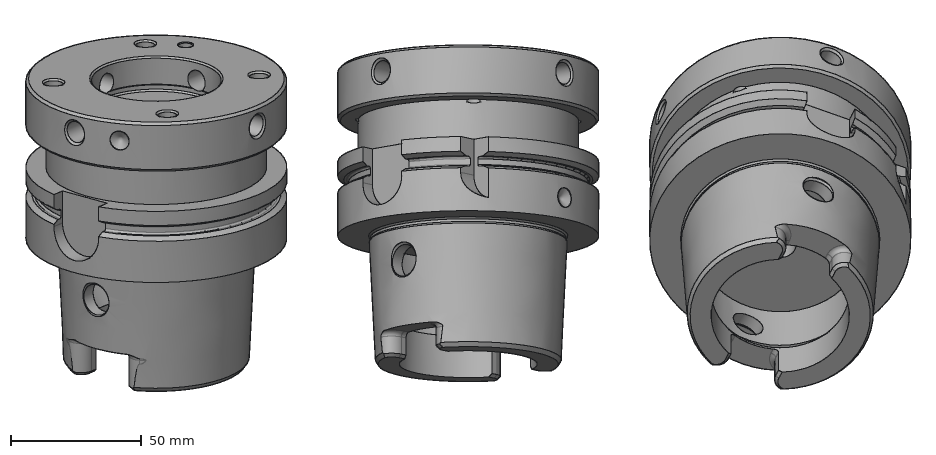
import cadquery as cq
import math

overrun = 2.3

height = 114.9
shank_height = 50.0
flange_height = 29.0
head_height = 20.0
flange_top = shank_height + flange_height
head_bottom = height - head_height

outer_radius = 50.0
neck_radius = 42.3
head_chamfer = 1.0

gripper_offset = 20.0
gripper_center = shank_height + gripper_offset
gripper_rim_width = 6.4
gripper_slot_width = 3.8
gripper_floor_radius = 45.8
gripper_corner_radius = 0.8
gripper_flank_angle = 30.0

shank_radius = 37.9
shank_slope = 0.05
shank_end_chamfer_height = 1.7
shank_end_chamfer_width = 1.1
relief_depth = 0.5
relief_height = 2.4
relief_flank = 0.7

recess_radius = 25.5
recess_depth = 14.1
recess_chamfer = 0.7
recess_relief_height = 2.9
coolant_diameter = 12.2
cavity_mouth_radius = 26.4
cavity_radius = 31.5
cavity_depth = 47.1
clamp_shoulder_height = 16.1
clamp_shoulder_angle = 30.0

drill_point_angle = 118.0
face_hole_spacing = 56.0
face_hole_diameter = 7.2
face_hole_depth = 20.9
face_hole_chamfer = 0.7
pin_angle = 22.5
pin_hole_circle_radius = 39.6
pin_hole_diameter = 5.5
pin_hole_chamfer = 0.3
pin_hole_depth = 11.5
side_hole_diameter = 8.5
side_hole_chamfer = 0.9
side_hole_height = 107.0

dimple_diameter = 7.6
dimple_rim_depth = 0.3
flange_dimple_height = 58.4

front_key_width = 22.0
rear_key_width = 20.0
key_floor = 43.5
key_bottom = 54.9
notch_wall = 31.4
notch_cutter_radius = 10.0
notch_cutter_height = 64.9

cross_hole_diameter = 12.3
cross_hole_chamfer = 0.8
cross_hole_height = 35.2
drive_half_width = 9.9
drive_face = 32.3
drive_nose_radius = 5.0
drive_flare = 5.7
drive_fillet = 2.0
drive_end_chamfer = 1.3
front_drive_height = 15.0
rear_drive_height = 9.9


def turned_body():
    """Revolve the complete outline, including the recess, bore and cavity."""
    flank_tan = math.tan(math.radians(gripper_flank_angle))
    half_rim = gripper_rim_width / 2
    half_slot = gripper_slot_width / 2
    flank_end = outer_radius - (half_rim - half_slot) / flank_tan
    corner = gripper_floor_radius + gripper_corner_radius
    half_floor = half_slot - gripper_corner_radius

    relief_bottom = shank_height - relief_height
    relief_radius = shank_radius - relief_depth
    shank_end_radius = shank_radius - shank_slope * (relief_bottom - shank_end_chamfer_height)
    recess_floor = height - recess_depth
    recess_wall = recess_radius - recess_chamfer
    recess_relief_radius = recess_wall + relief_depth
    coolant_radius = coolant_diameter / 2
    shoulder_rise = (cavity_radius - cavity_mouth_radius) / math.tan(math.radians(clamp_shoulder_angle))

    return (
        cq.Workplane("XZ")
        .moveTo(cavity_mouth_radius, 0)
        .lineTo(shank_end_radius - shank_end_chamfer_width, 0)
        .lineTo(shank_end_radius, shank_end_chamfer_height)
        .lineTo(shank_radius, relief_bottom)
        .lineTo(relief_radius, relief_bottom + relief_flank)
        .lineTo(relief_radius, shank_height - relief_flank)
        .lineTo(relief_radius + relief_flank, shank_height)
        .lineTo(outer_radius, shank_height)
        .lineTo(outer_radius, gripper_center - half_rim)
        .lineTo(flank_end, gripper_center - half_slot)
        .lineTo(corner, gripper_center - half_slot)
        .radiusArc((gripper_floor_radius, gripper_center - half_floor), gripper_corner_radius)
        .lineTo(gripper_floor_radius, gripper_center + half_floor)
        .radiusArc((corner, gripper_center + half_slot), gripper_corner_radius)
        .lineTo(flank_end, gripper_center + half_slot)
        .lineTo(outer_radius, gripper_center + half_rim)
        .lineTo(outer_radius, flange_top)
        .lineTo(neck_radius, flange_top)
        .lineTo(neck_radius, head_bottom)
        .lineTo(outer_radius - head_chamfer, head_bottom)
        .lineTo(outer_radius, head_bottom + head_chamfer)
        .lineTo(outer_radius, height - head_chamfer)
        .lineTo(outer_radius - head_chamfer, height)
        .lineTo(recess_radius, height)
        .lineTo(recess_wall, height - recess_chamfer)
        .lineTo(recess_wall, recess_floor + recess_relief_height)
        .lineTo(recess_relief_radius, recess_floor + recess_relief_height - relief_depth)
        .lineTo(recess_relief_radius, recess_floor + relief_flank)
        .lineTo(recess_relief_radius - relief_flank, recess_floor)
        .lineTo(coolant_radius, recess_floor)
        .lineTo(coolant_radius, cavity_depth)
        .lineTo(cavity_radius, cavity_depth)
        .lineTo(cavity_radius, clamp_shoulder_height + shoulder_rise)
        .lineTo(cavity_mouth_radius, clamp_shoulder_height)
        .close()
        .revolve(360, (0, 0, 0), (0, 1, 0))
    )


def drill(diameter, depth, chamfer=0.0):
    """Blind drill along -Z from the origin, with a pointed end and an optional countersink."""
    radius = diameter / 2
    point = radius / math.tan(math.radians(drill_point_angle / 2))
    outline = cq.Workplane("XZ").moveTo(0, overrun).lineTo(radius + chamfer, overrun).lineTo(radius + chamfer, 0)
    if chamfer:
        outline = outline.lineTo(radius, -chamfer)
    outline = outline.lineTo(radius, -depth).lineTo(0, -depth - point).close()
    return outline.revolve(360, (0, 0, 0), (0, 1, 0))


def radial(tool, radius, z, angle):
    """Turn a tool that points along -Z so it enters the rim at an angle from -Y."""
    facing = tool.rotate((0, 0, 0), (1, 0, 0), 90).translate((0, -radius, z))
    return facing.rotate((0, 0, 0), (0, 0, 1), angle)


def key_slot(width):
    """Full-radius keyway in the -Y side of the flange, open at its top."""
    radius = width / 2
    round_center = key_bottom + radius
    return (
        cq.Workplane("XZ", origin=(0, -key_floor, 0))
        .moveTo(-radius, flange_top)
        .lineTo(-radius, round_center)
        .threePointArc((0, key_bottom), (radius, round_center))
        .lineTo(radius, flange_top)
        .close()
        .extrude(outer_radius)
    )


def orientation_notch():
    """Corner notch at -X +Y whose lower end is rounded by a cutter lying along Y."""
    far = -notch_wall - notch_cutter_radius
    return (
        cq.Workplane("XZ", origin=(0, notch_wall, 0))
        .moveTo(-notch_wall, flange_top)
        .lineTo(-notch_wall, notch_cutter_height)
        .radiusArc((far, notch_cutter_height - notch_cutter_radius), notch_cutter_radius)
        .lineTo(far, flange_top)
        .close()
        .extrude(-outer_radius)
    )


def drive_slot(slot_height):
    """Cutter for the -Y drive slot: it flares around two rounded noses and their tangents."""
    nose_x = drive_half_width + drive_nose_radius
    nose_y = -drive_face + drive_nose_radius
    diagonal = drive_nose_radius * math.sqrt(0.5)
    nose_angle = math.atan2(nose_x, -nose_y)
    end_x = nose_x + drive_nose_radius * math.sin(nose_angle)
    end_y = nose_y - drive_nose_radius * math.cos(nose_angle)
    flare_x = end_x + drive_flare * math.cos(nose_angle)
    flare_y = end_y + drive_flare * math.sin(nose_angle)
    inner_y = -cavity_mouth_radius / 2
    outer_y = -shank_radius - overrun

    outline = (
        cq.Workplane("XY")
        .moveTo(-drive_half_width, inner_y)
        .lineTo(-drive_half_width, nose_y)
        .threePointArc((-nose_x + diagonal, nose_y - diagonal), (-end_x, end_y))
        .lineTo(-flare_x, flare_y)
        .lineTo(-flare_x, outer_y)
        .lineTo(flare_x, outer_y)
        .lineTo(flare_x, flare_y)
        .lineTo(end_x, end_y)
        .threePointArc((nose_x - diagonal, nose_y - diagonal), (drive_half_width, nose_y))
        .lineTo(drive_half_width, inner_y)
        .close()
    )
    margin = 0.1
    walls = cq.selectors.BoxSelector(
        (margin - flare_x, -drive_face - margin, slot_height - margin),
        (flare_x - margin, inner_y - margin, slot_height + margin),
    )
    slot = outline.extrude(slot_height)
    end_outline = slot.faces("<Z").wires().toPending().offset2D(drive_end_chamfer, "intersection")
    end_chamfer = end_outline.extrude(drive_end_chamfer, combine=False, taper=45)
    return slot.edges(walls).fillet(drive_fillet).union(end_chamfer)


result = turned_body()

face_drill = drill(face_hole_diameter, face_hole_depth, face_hole_chamfer)
for x in (-face_hole_spacing / 2, face_hole_spacing / 2):
    for y in (-face_hole_spacing / 2, face_hole_spacing / 2):
        result = result.cut(face_drill.translate((x, y, height)))

pin_x = -pin_hole_circle_radius * math.sin(math.radians(pin_angle))
pin_y = pin_hole_circle_radius * math.cos(math.radians(pin_angle))
pin_drill = drill(pin_hole_diameter, pin_hole_depth, pin_hole_chamfer)
result = result.cut(pin_drill.translate((pin_x, pin_y, height)))

side_drill = drill(side_hole_diameter, outer_radius - recess_radius + overrun, side_hole_chamfer)
for angle in (0, 90, 180, 270):
    result = result.cut(radial(side_drill, outer_radius, side_hole_height, angle))

dimple = drill(dimple_diameter, dimple_rim_depth)
result = result.cut(radial(dimple, outer_radius, side_hole_height, pin_angle))
result = result.cut(radial(dimple, outer_radius, flange_dimple_height, -90))

result = result.cut(key_slot(front_key_width))
result = result.cut(key_slot(rear_key_width).rotate((0, 0, 0), (0, 0, 1), 180))
result = result.cut(orientation_notch())

cross_radius = shank_radius - shank_slope * (shank_height - relief_height - cross_hole_height)
cross_drill = drill(cross_hole_diameter, cross_radius - cavity_radius + overrun, cross_hole_chamfer)
for angle in (0, 180):
    result = result.cut(radial(cross_drill, cross_radius, cross_hole_height, angle))

result = result.cut(drive_slot(front_drive_height))
result = result.cut(drive_slot(rear_drive_height).rotate((0, 0, 0), (0, 0, 1), 180))